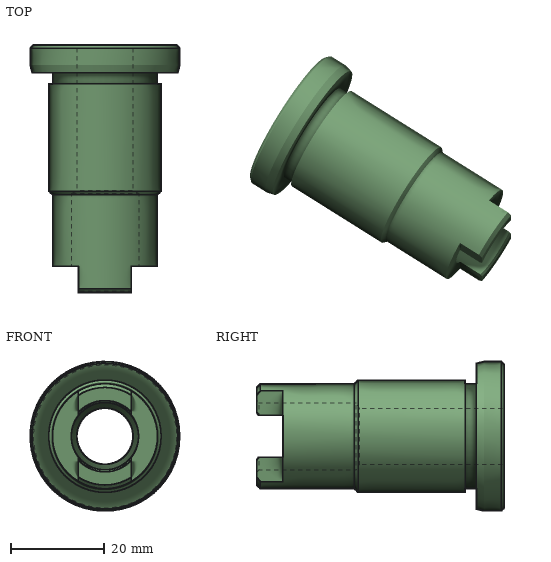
import cadquery as cq
import math

length = 53.0
flange_radius = 16.0
flange_thickness = 6.0
flange_back_chamfer = 0.7
flange_front_taper_length = 1.65
flange_front_taper_drop = 0.4

body_radius = 12.05
shoulder_chamfer = 0.8
nose_radius = body_radius - shoulder_chamfer
nose_length = 20.95
groove_width = 2.4

tip_chamfer = 0.8
tip_bore_chamfer = 0.4
tongue_width = 11.35
tongue_length = 5.6

through_radius = 6.0
counterbore_radius = 7.2
counterbore_depth = 21.2
cone_half_angle = 59.0

flange_front = length - flange_thickness
groove_front = flange_front - groove_width
cone_length = (counterbore_radius - through_radius) / math.tan(math.radians(cone_half_angle))


def make_sleeve():
    """Revolve the wall section, given as (radius, y), about the Y axis."""
    outer = [
        (nose_radius - tip_chamfer, 0),
        (nose_radius, tip_chamfer),
        (nose_radius, nose_length),
        (body_radius, nose_length + shoulder_chamfer),
        (body_radius, groove_front),
        (nose_radius, groove_front),
        (nose_radius, flange_front),
        (flange_radius - flange_front_taper_drop, flange_front),
        (flange_radius, flange_front + flange_front_taper_length),
        (flange_radius, length - flange_back_chamfer),
        (flange_radius - flange_back_chamfer, length),
    ]
    bore = [
        (through_radius, length),
        (through_radius, counterbore_depth + cone_length),
        (counterbore_radius, counterbore_depth),
        (counterbore_radius, tip_bore_chamfer),
        (counterbore_radius + tip_bore_chamfer, 0),
    ]
    section = cq.Workplane("XY").polyline(outer + bore).close()
    return section.revolve(360, (0, 0, 0), (0, 1, 0))


def make_side_cut(side):
    """Block that removes the nose wall beside the tongues; side is -1 or 1 along X."""
    block_width = nose_radius
    return (
        cq.Workplane("XY")
        .box(block_width, tongue_length, 2 * body_radius, centered=(True, False, True))
        .translate((side * (tongue_width + block_width) / 2, 0, 0))
    )


result = make_sleeve()
for side in (-1, 1):
    result = result.cut(make_side_cut(side))